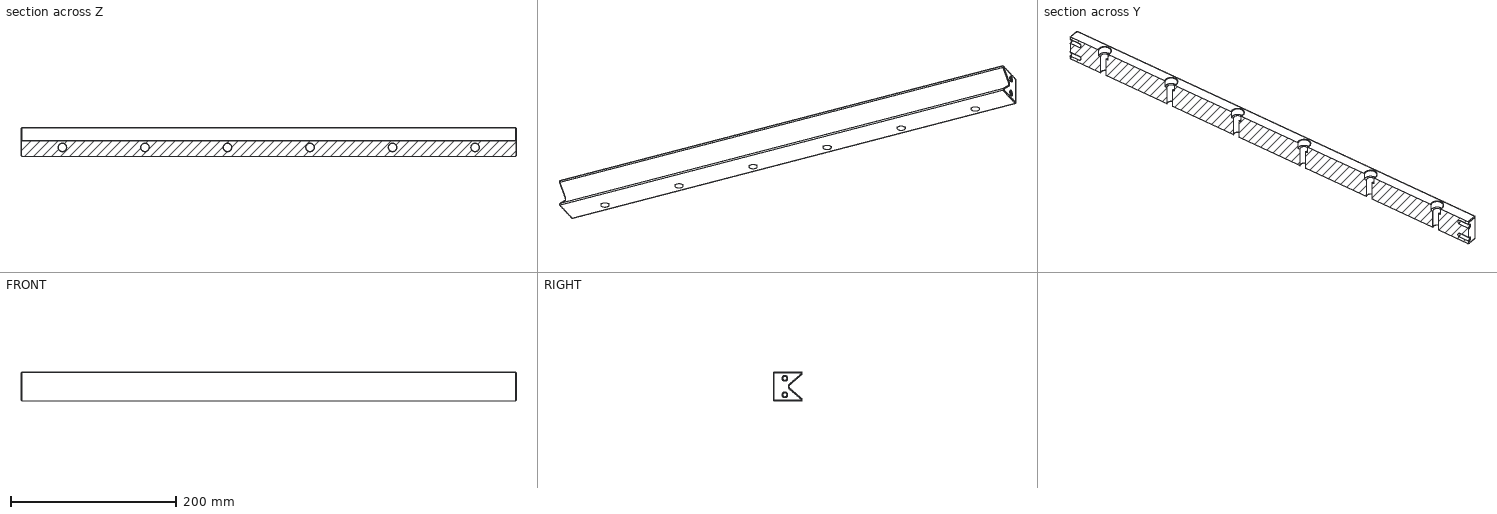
import cadquery as cq
LENGTH = 600.0
WIDTH = 35.0
HEIGHT = 35.0
EDGE_RADIUS = 1.3
END_CHAMFER = 1.0

LIP_HEIGHT = 2.5
VEE_DEPTH = WIDTH / 2
ROOT_RADIUS = 3.0

HOLE_COUNT = 6
HOLE_PITCH = LENGTH / HOLE_COUNT
HOLE_FROM_FRONT = 11.0
HOLE_DIAMETER = 10.0
COUNTERBORE_DIAMETER = 15.0
COUNTERBORE_DEPTH = 9.0
COUNTERBORE_CHAMFER = 0.5

END_HOLE_DIAMETER = 5.0
END_HOLE_SPACING = 20.0
END_HOLE_FROM_FRONT = 14.0
END_HOLE_MOUTH_DIAMETER = 7.0
END_HOLE_DEPTH = 15.0
DRILL_TIP_RATIO = 0.6

FRONT_Y = -WIDTH / 2
BACK_Y = WIDTH / 2
TOP_Z = HEIGHT / 2
HALF_LENGTH = LENGTH / 2


def make_body():
    """Square bar with both long front edges rounded."""
    bar = cq.Workplane("XY").box(LENGTH, WIDTH, HEIGHT)
    return bar.faces("<Y").edges("|X").fillet(EDGE_RADIUS)


def make_groove():
    """Cutter for the round-bottomed V groove, over the full length."""
    mouth_half = TOP_Z - LIP_HEIGHT
    root_y = BACK_Y - VEE_DEPTH
    outline = [(BACK_Y, mouth_half), (root_y, 0), (BACK_Y, -mouth_half)]
    section = cq.Workplane("YZ", origin=(-HALF_LENGTH, 0, 0)).polyline(outline).close()
    return section.extrude(LENGTH).edges("|X and <Y").fillet(ROOT_RADIUS)


def drill_mounting_holes(body):
    """Row of evenly pitched holes, counterbored from the top with a chamfered mouth."""
    centers = cq.Workplane("XY", origin=(0, FRONT_Y + HOLE_FROM_FRONT, TOP_Z)).rarray(
        HOLE_PITCH, 1, HOLE_COUNT, 1
    )
    body = body.cut(centers.circle(HOLE_DIAMETER / 2).extrude(-HEIGHT))
    counterbores = centers.circle(COUNTERBORE_DIAMETER / 2).extrude(-COUNTERBORE_DEPTH)
    mouths = centers.circle(COUNTERBORE_DIAMETER / 2 + COUNTERBORE_CHAMFER).extrude(
        -COUNTERBORE_CHAMFER, taper=45
    )
    return body.cut(counterbores).cut(mouths)


def make_drill():
    """Blind-hole cutter with a conical tip, pointing along +X from the origin."""
    radius = END_HOLE_DIAMETER / 2
    tip_x = END_HOLE_DEPTH + radius * DRILL_TIP_RATIO
    mouth_radius = END_HOLE_MOUTH_DIAMETER / 2
    outline = [
        (0, 0),
        (0, mouth_radius),
        (mouth_radius - radius, radius),
        (END_HOLE_DEPTH, radius),
        (tip_x, 0),
    ]
    return cq.Workplane("XY").polyline(outline).close().revolve(360, (0, 0, 0), (1, 0, 0))


def drill_end_holes(body):
    """Pair of countersunk blind holes in each end of the rail."""
    drill = make_drill()
    for half_turn in (0, 180):
        for z in (-END_HOLE_SPACING / 2, END_HOLE_SPACING / 2):
            cutter = drill.translate((-HALF_LENGTH, 0, z)).rotate((0, 0, 0), (0, 0, 1), half_turn)
            body = body.cut(cutter.translate((0, FRONT_Y + END_HOLE_FROM_FRONT, 0)))
    return body


body = make_body().cut(make_groove())
body = body.faces("<X or >X").chamfer(END_CHAMFER)
body = drill_mounting_holes(body)
result = drill_end_holes(body)